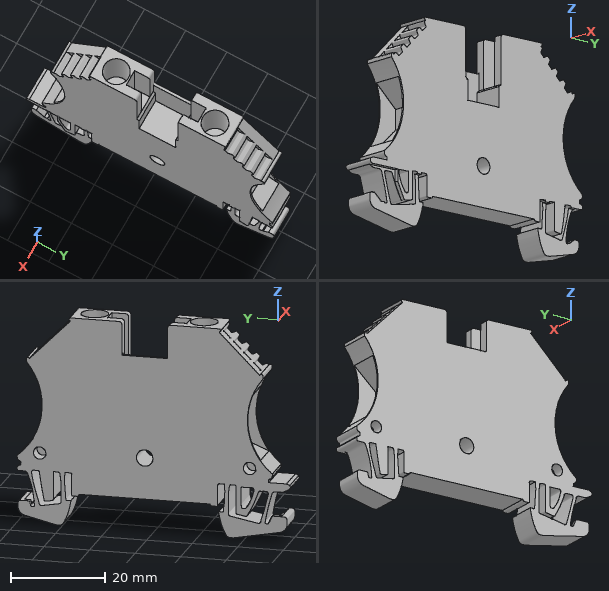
import cadquery as cq
import math

THICKNESS = 7.9
HEIGHT = 46.25
FOOT_THICKNESS = 6.95
BODY_BOTTOM = 11.45
PLUS, MINUS = 1, -1
RAIL_STOP_Y = 16.0
RAIL_STOP_Z = 6.7
BLOCK_BOTTOM_Z = 7.15
SLOT_TOP_Z = 11.8

TOE_NOTCH_START_X = 1.0
FOOT_JOIN_Z = 12.0
HEEL = [
    (16.15, FOOT_JOIN_Z), (16.2, 5.45, 0.2), (16.8, 2.45, 12.0), (18.1, 0.0, 1.1), (19.5, 0.0, 2.4),
]
TONGUE_Y = 20.05
TONGUE_CORNER = (TONGUE_Y, 5.4, 0.35)

FLANK_RADIUS = 14.8
FLANK_CENTRE_Y = 37.4
FLANK_CENTRE_Z = 26.35
LIP_BOTTOM_Z = 35.8
ANKLE_TOP_Z = 14.8

SHOULDER_SUM = 61.85
GRIP_COUNT = 4
GRIP_START_X = 2.5
GRIP_FIRST_Z = 44.4
GRIP_STEP_Z = 2.2
GRIP_OPENING = 3.4
GRIP_FLOOR = 2.2
GRIP_DEPTH = 1.8
GRIP_LIP_RADIUS = 0.2
GRIP_CORNER_RADIUS = 0.1
GRIP_RUNOUT = 0.4

NOTCH_HALF = 5.0
NOTCH_WALL = 0.7
NOTCH_WALL_TOP = 38.8
NOTCH_LEDGE_Z = 35.1
NOTCH_LEDGE_WIDTH = 0.55
NOTCH_FLOOR_Z = 30.0
NOTCH_TOP_RADIUS = 0.7
NOTCH_CORNER_RADIUS = 0.25

SHAFT_Y = 12.0
SHAFT_X = 4.25
SHAFT_DIAMETER = 5.9
SLOT_X = 4.0
SLOT_WIDTH = 3.65
SLOT_END_Y = 8.7

FUNNEL_START_X = 0.35
FUNNEL_WIDTH = 7.15
FUNNEL_BACK_Y = 18.25
FUNNEL_BACK_TOP_Z = 27.05
FUNNEL_BACK_BOTTOM_Z = 22.5
FUNNEL_BEND_Y = 21.8
FUNNEL_BEND_Z = 19.1
FUNNEL_MOUTH_TOP_Z = 32.0
FUNNEL_MOUTH_BOTTOM_Z = 17.65

CENTRE_HOLE_DIAMETER = 3.6
CENTRE_HOLE_Z = 16.3
PEG_HOLE_DIAMETER = 2.7
PEG_HOLE_Y = 23.05
PEG_HOLE_Z = 15.7
PEG_HOLE_DEPTH = 3.0


def prism(points, side=PLUS, start=0.0, depth=THICKNESS):
    """Extrude a closed outline along X. Points are (outward Y, Z) or (outward Y, Z, corner radius)."""
    path = []
    count = len(points)
    for i, point in enumerate(points):
        here = cq.Vector(point[0] * side, point[1])
        radius = point[2] if len(point) > 2 else 0
        before = points[i - 1]
        after = points[(i + 1) % count]
        back = (cq.Vector(before[0] * side, before[1]) - here).normalized()
        ahead = (cq.Vector(after[0] * side, after[1]) - here).normalized()
        if radius == 0:
            path.append((here, None, here))
            continue
        half_angle = back.getAngle(ahead) / 2
        tangent = radius / math.tan(half_angle)
        bisector = (back + ahead).normalized()
        middle = here + bisector * (radius / math.sin(half_angle) - radius)
        path.append((here + back * tangent, middle, here + ahead * tangent))

    sketch = cq.Workplane("YZ", origin=(start, 0, 0)).moveTo(path[0][2].x, path[0][2].y)
    for arrive, middle, leave in path[1:] + path[:1]:
        sketch = sketch.lineTo(arrive.x, arrive.y)
        if middle is not None:
            sketch = sketch.threePointArc((middle.x, middle.y), (leave.x, leave.y))
    return sketch.close().extrude(depth)


def cylinder_x(y, z, diameter, depth=THICKNESS):
    """Cylinder along X starting at the X = 0 face."""
    return cq.Workplane("YZ").center(y, z).circle(diameter / 2).extrude(depth)


def flank_y(z):
    """Outward Y of the flank arc at height z."""
    return FLANK_CENTRE_Y - math.sqrt(FLANK_RADIUS**2 - (z - FLANK_CENTRE_Z) ** 2)


def body_half(side):
    """Half of the body: shoulder, lips, flank and, below the middle, the rail stop."""
    ankle = [(28.0, ANKLE_TOP_Z), (28.0, 13.8, 0.9), (27.25, 13.55, 0.1)]
    if side == PLUS:
        ankle += [(27.25, 12.8, 0.1), (28.0, 12.5, 0.4), (28.0, BODY_BOTTOM, 0.35)]
    else:
        ankle += [(27.25, 12.9), (32.0, 12.9, 0.7), (32.0, BODY_BOTTOM, 0.65)]
    outline = [
        (0, BLOCK_BOTTOM_Z),
        (0, HEIGHT),
        (17.15, HEIGHT, 0.35),
        (16.4, SHOULDER_SUM - 16.4),
        (25.25, SHOULDER_SUM - 25.25),
        (26.0, 37.3, 0.35),
        (flank_y(LIP_BOTTOM_Z), LIP_BOTTOM_Z),
        *ankle,
        (RAIL_STOP_Y, BODY_BOTTOM),
        (RAIL_STOP_Y, RAIL_STOP_Z, 0.25),
        (14.6, RAIL_STOP_Z, 0.2),
        (14.3, BLOCK_BOTTOM_Z),
    ]
    half = prism(outline, side)
    return half.cut(cylinder_x(side * FLANK_CENTRE_Y, FLANK_CENTRE_Z, 2 * FLANK_RADIUS))


def plain_foot():
    """Spring foot on the +Y side with its U-shaped opening around a stiff tongue."""
    foot = prism(
        [
            *HEEL,
            (27.85, 2.0, 1.9), (27.85, 4.9, 0.55), (25.25, 4.9, 0.2), (24.95, 3.7, 0.3), (24.2, 3.7, 0.3),
            (24.35, 6.4, 18.0), (25.15, 9.35, 18.0), (25.9, BODY_BOTTOM, 0.7),
            (27.0, BODY_BOTTOM), (27.0, FOOT_JOIN_Z),
        ],
        PLUS, depth=FOOT_THICKNESS,
    )
    tongue = prism(
        [(TONGUE_Y, FOOT_JOIN_Z), TONGUE_CORNER, (22.0, 5.1, 0.3), (22.55, 7.9), (23.1, FOOT_JOIN_Z)],
        PLUS,
    )
    opening = prism(
        [
            (23.15, SLOT_TOP_Z, 0.3), (22.55, 7.9, 24.0), (22.0, 5.1, 0.3), TONGUE_CORNER,
            (TONGUE_Y, SLOT_TOP_Z), (18.65, SLOT_TOP_Z, 0.5), (18.35, 9.7, 12.0), (18.35, 4.85, 0.5),
            (23.0, 4.0, 0.5), (23.75, 6.6, 24.0), (24.55, 9.35, 24.0), (24.9, SLOT_TOP_Z, 0.5),
        ],
        PLUS,
    )
    toe_notch = prism(
        [(26.65, 5.0), (25.25, 3.9), (24.7, 4.0), (24.7, 5.0)], PLUS, TOE_NOTCH_START_X
    )
    return foot.union(tongue), [opening, toe_notch]


def bar_foot():
    """Spring foot on the -Y side, carrying the underside of the release bar."""
    foot = prism(
        [
            *HEEL,
            (31.25, 2.3, 1.9), (31.25, 5.5, 0.65), (27.9, 5.5, 0.5), (27.1, 3.7, 0.3), (26.4, 3.7, 0.3),
            (26.95, 6.8, 36.0), (28.1, 10.9, 0.7), (30.3, 10.9, 0.9), (31.45, BODY_BOTTOM),
            (31.45, FOOT_JOIN_Z),
        ],
        MINUS, depth=FOOT_THICKNESS,
    )
    tongue = prism(
        [(TONGUE_Y, FOOT_JOIN_Z), TONGUE_CORNER, (22.4, 5.0, 0.3), (24.25, 8.75), (24.25, FOOT_JOIN_Z)],
        MINUS,
    )
    opening = prism(
        [
            (TONGUE_Y, SLOT_TOP_Z, 0.3), TONGUE_CORNER, (22.4, 5.0, 0.3), (23.7, 7.3, 18.0),
            (24.7, 9.9, 18.0), (25.1, 10.85, 0.55), (27.25, 10.85, 0.5), (26.2, 6.8, 36.0), (25.3, 3.6, 0.5),
            (18.35, 4.9, 0.5), (18.35, 9.7, 12.0), (18.65, SLOT_TOP_Z, 0.5),
        ],
        MINUS,
    )
    window = prism(
        [
            (21.2, BODY_BOTTOM, 0.1), (24.1, BODY_BOTTOM, 0.5), (23.35, 8.65, 6.0),
            (22.15, 6.7, 0.5), (21.35, 6.7, 0.2), (21.2, 7.5),
        ],
        MINUS,
    )
    toe_notch = prism(
        [(30.05, 5.6), (28.0, 3.85), (26.8, 4.1), (26.8, 5.6)], MINUS, TOE_NOTCH_START_X
    )
    return foot.union(tongue), [opening, window, toe_notch]


def rail_slot(side):
    """Gap between the rail stop of the body and the spring foot."""
    return prism(
        [
            (RAIL_STOP_Y, SLOT_TOP_Z, 0.4), (17.45, SLOT_TOP_Z), (17.65, 10.45, 9.0),
            (17.3, 5.65, 0.2), (RAIL_STOP_Y, 5.65),
        ],
        side,
    )


def grip_grooves(side):
    """Tapered grooves across the shoulder, open at the far X face."""
    diagonal = math.sqrt(0.18)
    profile = [
        (-GRIP_OPENING / 2 - GRIP_RUNOUT, GRIP_RUNOUT, 0),
        (-GRIP_OPENING / 2 - GRIP_RUNOUT, 0, 0),
        (-GRIP_OPENING / 2, 0, GRIP_LIP_RADIUS),
        (-GRIP_FLOOR / 2, -GRIP_DEPTH, GRIP_CORNER_RADIUS),
        (GRIP_FLOOR / 2, -GRIP_DEPTH, GRIP_CORNER_RADIUS),
        (GRIP_OPENING / 2, 0, GRIP_LIP_RADIUS),
        (GRIP_OPENING / 2 + GRIP_RUNOUT, 0, 0),
        (GRIP_OPENING / 2 + GRIP_RUNOUT, GRIP_RUNOUT, 0),
    ]
    grooves = cq.Workplane("YZ")
    for index in range(GRIP_COUNT):
        z = GRIP_FIRST_Z - index * GRIP_STEP_Z
        y = SHOULDER_SUM - z
        outline = [
            (y + diagonal * (down + out), z + diagonal * (out - down), radius)
            for down, out, radius in profile
        ]
        grooves = grooves.add(prism(outline, side, GRIP_START_X, THICKNESS - GRIP_START_X))
    return grooves.combine()


def marker_notch():
    """Notch through the top edge, deeper behind the thin wall, with a chamfered ledge on both sides."""
    shallow = cq.Workplane("XY").box(
        THICKNESS, 2 * NOTCH_HALF, HEIGHT - NOTCH_WALL_TOP, centered=(False, True, False)
    )
    shallow = shallow.translate((0, 0, NOTCH_WALL_TOP)).edges("|X and <Z").fillet(NOTCH_CORNER_RADIUS)
    inner = NOTCH_HALF - NOTCH_LEDGE_WIDTH
    deep = prism(
        [
            (NOTCH_HALF, HEIGHT), (NOTCH_HALF, NOTCH_LEDGE_Z),
            (inner, NOTCH_LEDGE_Z - NOTCH_LEDGE_WIDTH), (inner, NOTCH_FLOOR_Z),
            (-inner, NOTCH_FLOOR_Z), (-inner, NOTCH_LEDGE_Z - NOTCH_LEDGE_WIDTH),
            (-NOTCH_HALF, NOTCH_LEDGE_Z), (-NOTCH_HALF, HEIGHT),
        ],
        start=NOTCH_WALL, depth=THICKNESS - NOTCH_WALL,
    )
    return shallow.union(deep)


def screw_shaft(side):
    """Round shaft for the clamping screw and the slot joining the notch."""
    depth = HEIGHT - NOTCH_LEDGE_Z
    floor = cq.Workplane("XY", origin=(0, 0, NOTCH_LEDGE_Z))
    shaft = floor.center(SHAFT_X, side * SHAFT_Y).circle(SHAFT_DIAMETER / 2).extrude(depth)
    slot = floor.center(SLOT_X, side * SLOT_END_Y / 2).rect(SLOT_WIDTH, SLOT_END_Y).extrude(depth)
    return shaft.union(slot)


def wire_funnel(side):
    """Funnel that narrows from the flank to a flat back wall."""
    return prism(
        [
            (FUNNEL_BACK_Y, FUNNEL_BACK_TOP_Z), (FUNNEL_BACK_Y, FUNNEL_BACK_BOTTOM_Z),
            (FUNNEL_BEND_Y, FUNNEL_BEND_Z), (flank_y(FUNNEL_MOUTH_BOTTOM_Z), FUNNEL_MOUTH_BOTTOM_Z),
            (flank_y(FUNNEL_MOUTH_TOP_Z), FUNNEL_MOUTH_TOP_Z),
        ],
        side, FUNNEL_START_X, FUNNEL_WIDTH,
    )


part = body_half(PLUS).union(body_half(MINUS))
part = part.cut(marker_notch())
for side in (PLUS, MINUS):
    notch_rim = cq.selectors.NearestToPointSelector((THICKNESS / 2, side * NOTCH_HALF, HEIGHT))
    part = part.edges("|X").edges(notch_rim).fillet(NOTCH_TOP_RADIUS)

for foot, openings in (plain_foot(), bar_foot()):
    part = part.union(foot)
    for opening in openings:
        part = part.cut(opening)

for side in (PLUS, MINUS):
    part = part.cut(rail_slot(side))
    part = part.cut(grip_grooves(side))
    part = part.cut(screw_shaft(side))
    part = part.cut(wire_funnel(side))
    part = part.cut(cylinder_x(side * PEG_HOLE_Y, PEG_HOLE_Z, PEG_HOLE_DIAMETER, PEG_HOLE_DEPTH))

result = part.cut(cylinder_x(0, CENTRE_HOLE_Z, CENTRE_HOLE_DIAMETER))